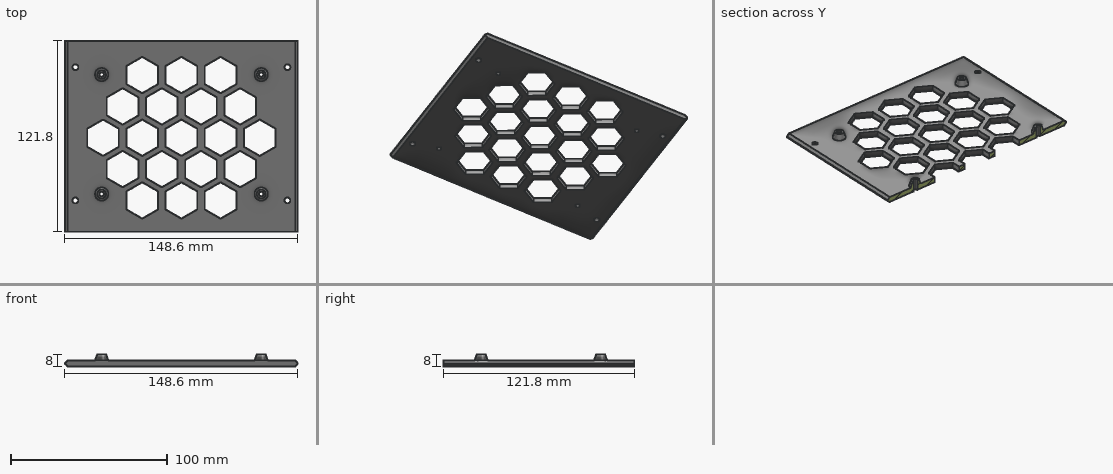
import cadquery as cq
import math

plate_width = 148.6
plate_depth = 121.85
plate_thickness = 4.0
edge_land_height = 0.5
bevel_size = (plate_thickness - edge_land_height) / 2
total_height = 8.0

hex_across_flats = 20.0
hex_pitch_x = 25.0
hex_pitch_y = 20.0
hex_row_counts = (3, 4, 5, 4, 3)
hex_center_y = -0.925

mount_hole_diameter = 3.6
mount_spacing_x = 135.3
mount_spacing_y = 85.0
mount_center_y = 1.575

standoff_base_diameter = 8.5
standoff_top_diameter = 5.6
standoff_hole_diameter = 2.8
standoff_spacing_x = 101.8
standoff_spacing_y = 76.2
standoff_center_y = 1.275


def rectangle_corners(spacing_x, spacing_y, center_y):
    """Four points on the corners of a rectangle centred in X."""
    return [
        (side_x * spacing_x / 2, center_y + side_y * spacing_y / 2)
        for side_x in (-1, 1)
        for side_y in (-1, 1)
    ]


def honeycomb_centers():
    """Centres of the vent openings, row by row from low Y to high Y."""
    middle_row = (len(hex_row_counts) - 1) / 2
    centers = []
    for row, count in enumerate(hex_row_counts):
        y = hex_center_y + (row - middle_row) * hex_pitch_y
        for column in range(count):
            x = (column - (count - 1) / 2) * hex_pitch_x
            centers.append((x, y))
    return centers


def make_plate():
    """Flat plate with 45 degree bevels above and below along both X edges."""
    plate = cq.Workplane("XY").box(plate_width, plate_depth, plate_thickness, centered=(True, True, False))
    return plate.edges("|Y").chamfer(bevel_size)


def make_vents():
    """Hexagonal prisms that cut the honeycomb through the plate."""
    across_corners = hex_across_flats / math.cos(math.pi / 6)
    hexagon = cq.Sketch().regularPolygon(across_corners / 2, 6)
    return cq.Workplane("XY").pushPoints(honeycomb_centers()).placeSketch(hexagon).extrude(plate_thickness)


def make_holes(points, diameter):
    """Cylinders that cut round holes through the full height."""
    return cq.Workplane("XY").pushPoints(points).circle(diameter / 2).extrude(total_height)


def make_standoff(x, y):
    """Truncated cone standing on the plate."""
    cone = cq.Solid.makeCone(
        standoff_base_diameter / 2,
        standoff_top_diameter / 2,
        total_height - plate_thickness,
        pnt=cq.Vector(x, y, plate_thickness),
    )
    return cq.Workplane("XY").add(cone)


mount_points = rectangle_corners(mount_spacing_x, mount_spacing_y, mount_center_y)
standoff_points = rectangle_corners(standoff_spacing_x, standoff_spacing_y, standoff_center_y)

result = make_plate().cut(make_vents())
for standoff_x, standoff_y in standoff_points:
    result = result.union(make_standoff(standoff_x, standoff_y))
result = result.cut(make_holes(mount_points, mount_hole_diameter))
result = result.cut(make_holes(standoff_points, standoff_hole_diameter))